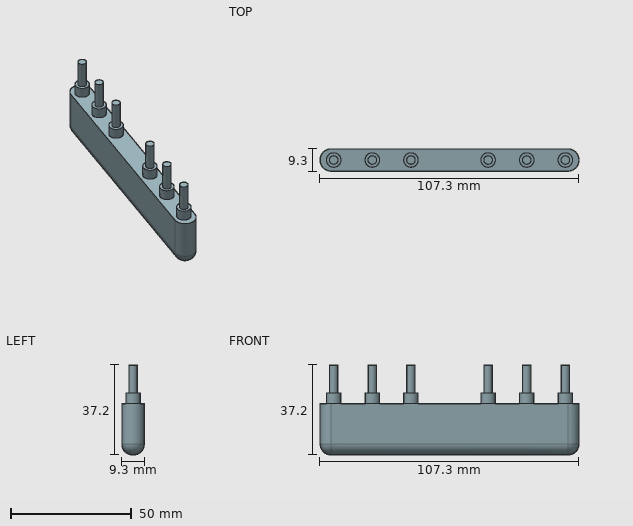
import cadquery as cq

body_length = 107.3
body_width = 9.3
total_height = 37.2
bottom_radius = 4.5

pin_diameter = 3.5
pin_height = 11.5
collar_diameter = 6.0
collar_height = 4.5
pin_pitch = 16.0
pin_steps = (-3, -2, -1, 1, 2, 3)

body_height = total_height - collar_height - pin_height


def make_body():
    """Round-ended bar with its bottom edge filleted; its top face is at Z = body_height."""
    bar = cq.Workplane("XY").slot2D(body_length, body_width).extrude(body_height)
    return bar.faces("<Z").edges().fillet(bottom_radius)


def make_pins():
    """Row of collars, each carrying a thinner pin, rooted inside the body."""
    positions = [(step * pin_pitch, 0) for step in pin_steps]
    root_depth = collar_height
    base = cq.Workplane("XY").workplane(offset=body_height - root_depth).pushPoints(positions)
    collars = base.circle(collar_diameter / 2).extrude(root_depth + collar_height)
    pins = base.circle(pin_diameter / 2).extrude(root_depth + collar_height + pin_height)
    return collars.union(pins)


result = make_body().union(make_pins())